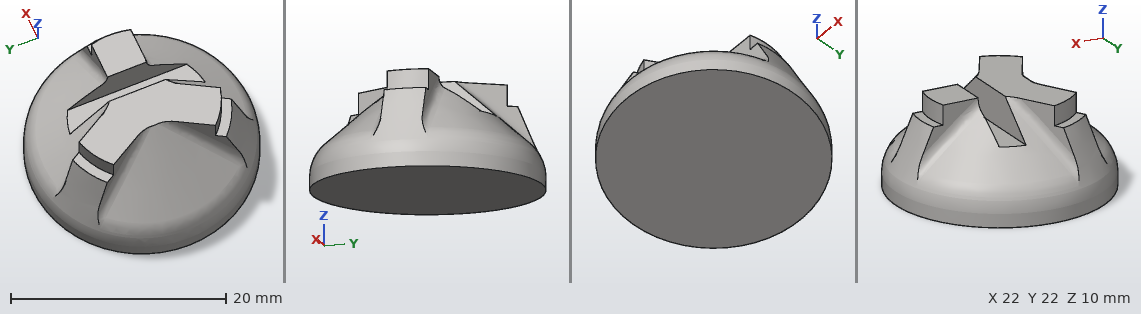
import cadquery as cq
import math

BASE_RADIUS = 11.0
HEIGHT = 10.0
RIM_HEIGHT = 2.0
FLANK_ANGLE = 23.6
EDGE_ROUND = 3.0

HUB_TOP_RADIUS = 3.0
HUB_ANGLE = 41.6

ARM_COUNT = 3
ARM_WIDTH = 4.0
ARM_FILLET = 1.0
CROWN_RADIUS = 7.4
LEDGE_HEIGHT = 8.0

SLOT_START_X = 1.0
SLOT_WIDTH = 2.4
SLOT_FLOOR = 6.5

SPAN = 4 * BASE_RADIUS
MARGIN = 0.01
ORIGIN = (0, 0, 0)
Z_AXIS = (0, 0, 1)

flank_run = math.tan(math.radians(FLANK_ANGLE))
hub_fall = math.tan(math.radians(HUB_ANGLE))
hub_apex_z = HEIGHT + hub_fall * HUB_TOP_RADIUS
flank_foot_radius = BASE_RADIUS + flank_run * RIM_HEIGHT

shoulder_radius = (flank_foot_radius - flank_run * hub_apex_z) / (1 - flank_run * hub_fall)
shoulder_z = hub_apex_z - hub_fall * shoulder_radius

hub_normal = math.radians(90 - HUB_ANGLE)
flank_normal = math.radians(FLANK_ANGLE)
shoulder_half_turn = (hub_normal - flank_normal) / 2
shoulder_bisector = (hub_normal + flank_normal) / 2
centre_offset = EDGE_ROUND / math.cos(shoulder_half_turn)
round_centre_radius = shoulder_radius - centre_offset * math.cos(shoulder_bisector)
round_centre_z = shoulder_z - centre_offset * math.sin(shoulder_bisector)
round_outer_radius = round_centre_radius + EDGE_ROUND


def on_shoulder_round(angle):
    """Profile point (on the -X side) of the shoulder round at an angle above horizontal."""
    radius = round_centre_radius + EDGE_ROUND * math.cos(angle)
    return -radius, round_centre_z + EDGE_ROUND * math.sin(angle)


def flank_radius(z):
    return BASE_RADIUS - flank_run * (z - RIM_HEIGHT)


def spin(profile):
    """Revolve a closed XZ profile about Z."""
    return profile.close().revolve(360, (0, 0), (0, 1))


def make_flank_body(top_z):
    """Rim and flank cone, cut flat at top_z."""
    return spin(
        cq.Workplane("XZ")
        .lineTo(-BASE_RADIUS, 0)
        .lineTo(-BASE_RADIUS, RIM_HEIGHT)
        .lineTo(-flank_radius(top_z), top_z)
        .lineTo(0, top_z)
    )


def make_hub():
    """Pointed hub cone whose shoulder round carries on down until it is vertical."""
    return spin(
        cq.Workplane("XZ")
        .lineTo(0, hub_apex_z)
        .lineTo(*on_shoulder_round(hub_normal))
        .threePointArc(on_shoulder_round(hub_normal / 2), on_shoulder_round(0))
        .lineTo(-round_outer_radius, 0)
    )


def make_arm():
    """One arm along +X with its filleted walls and its share of the hub."""
    wall_y = ARM_WIDTH / 2
    block = (
        cq.Workplane("XY")
        .box(SPAN, SPAN, SPAN, centered=(True, False, False))
        .translate((0, wall_y - SPAN, 0))
    )
    wall_root = cq.selectors.BoxSelector(
        (-BASE_RADIUS, wall_y - MARGIN, -MARGIN),
        (BASE_RADIUS, wall_y + MARGIN, hub_apex_z),
        boundingbox=True,
    )
    one_wall = make_hub().union(block).edges(wall_root).fillet(ARM_FILLET)
    two_walls = one_wall.intersect(one_wall.mirror("XZ"))

    half_sector = SPAN * math.tan(math.pi / ARM_COUNT)
    sector = (
        cq.Workplane("XY")
        .polyline([(0, 0), (SPAN, -half_sector), (SPAN, half_sector)])
        .close()
        .extrude(HEIGHT)
    )
    return two_walls.intersect(sector)


def make_body():
    """Arms and hub trimmed to the flank, with the rim edge rounded."""
    arm = make_arm()
    star = arm
    for i in range(1, ARM_COUNT):
        star = star.union(arm.rotate(ORIGIN, Z_AXIS, i * 360 / ARM_COUNT))

    lower_flank_top = on_shoulder_round(flank_normal)[1]
    body = star.intersect(make_flank_body(HEIGHT)).union(make_flank_body(lower_flank_top)).clean()

    rim_edge = cq.selectors.BoxSelector(
        (-SPAN, -SPAN, RIM_HEIGHT - MARGIN), (SPAN, SPAN, RIM_HEIGHT + MARGIN), boundingbox=True
    )
    return body.edges(rim_edge).fillet(EDGE_ROUND)


def make_crown_step():
    """Ring removed around the crown, leaving a ledge on each arm tip."""
    step_height = HEIGHT - LEDGE_HEIGHT
    return (
        cq.Workplane("XY")
        .workplane(offset=LEDGE_HEIGHT)
        .circle(BASE_RADIUS)
        .circle(CROWN_RADIUS)
        .extrude(step_height)
    )


def make_slot():
    slot_depth = HEIGHT - SLOT_FLOOR
    return (
        cq.Workplane("XY")
        .box(SLOT_WIDTH, SPAN, slot_depth, centered=(False, True, False))
        .translate((SLOT_START_X, 0, SLOT_FLOOR))
    )


result = make_body().cut(make_crown_step()).cut(make_slot())